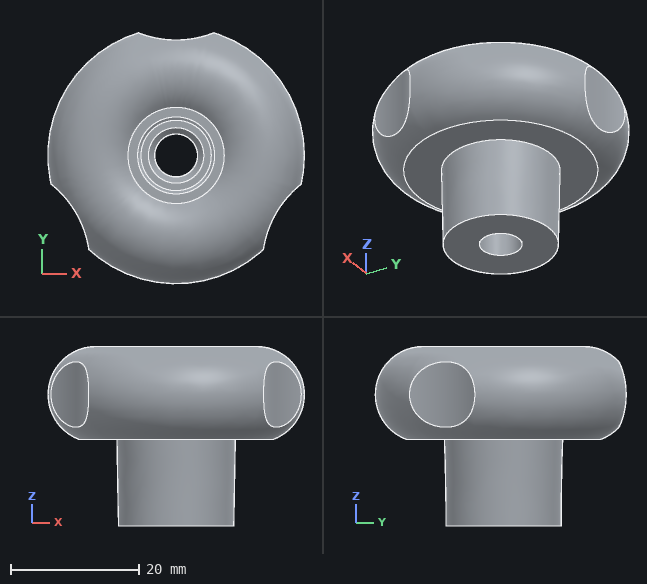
import cadquery as cq
import math

outer_diameter = 40.0
total_height = 28.0
hub_height = 13.5

tube_diameter = 15.0
tube_radius = tube_diameter / 2
ring_radius = outer_diameter / 2 - tube_radius
ring_center_z = total_height - tube_radius
base_reach = math.sqrt(tube_radius**2 - (ring_center_z - hub_height) ** 2)
head_base_radius = ring_radius + base_reach

hub_top_radius = 9.25
hub_foot_radius = 9.0

recess_diameter = 15.0
recess_radius = recess_diameter / 2
recess_floor_z = 22.0
bore_top_radius = 6.0
bore_floor_radius = 5.5
bore_floor_z = 12.0
hole_diameter = 6.65
hole_radius = hole_diameter / 2
countersink_radius = 4.3
countersink_depth = countersink_radius - hole_radius

scallop_count = 3
scallop_first_angle = 90.0
scallop_radius = 16.0
scallop_bottom_radius = 18.0
scallop_axis_radius = scallop_bottom_radius + scallop_radius


def revolve_profile(outline):
    """Turn a closed (radius, height) outline about the Z axis."""
    return outline.close().revolve(360, (0, 0, 0), (0, 1, 0))


def make_body():
    """Head and hub as one solid of revolution, the centre filled up to the recess floor."""
    inner_rise = math.sqrt(tube_radius**2 - (ring_radius - recess_radius) ** 2)
    outline = (
        cq.Workplane("XZ")
        .moveTo(0, 0)
        .lineTo(hub_foot_radius, 0)
        .lineTo(hub_top_radius, hub_height)
        .lineTo(head_base_radius, hub_height)
        .threePointArc(
            (outer_diameter / 2, ring_center_z),
            (recess_radius, ring_center_z + inner_rise),
        )
        .lineTo(recess_radius, recess_floor_z)
        .lineTo(0, recess_floor_z)
    )
    return revolve_profile(outline)


def make_stepped_hole():
    """Tapered bore, countersink and through hole below the recess floor."""
    outline = (
        cq.Workplane("XZ")
        .moveTo(0, 0)
        .lineTo(hole_radius, 0)
        .lineTo(hole_radius, bore_floor_z - countersink_depth)
        .lineTo(countersink_radius, bore_floor_z)
        .lineTo(bore_floor_radius, bore_floor_z)
        .lineTo(bore_top_radius, recess_floor_z)
        .lineTo(0, recess_floor_z)
    )
    return revolve_profile(outline)


def make_scallops():
    """Cutters for the finger scallops, spaced evenly around the rim."""
    return (
        cq.Workplane("XY")
        .polarArray(scallop_axis_radius, scallop_first_angle, 360, scallop_count)
        .circle(scallop_radius)
        .extrude(total_height)
    )


result = make_body().cut(make_stepped_hole()).cut(make_scallops())